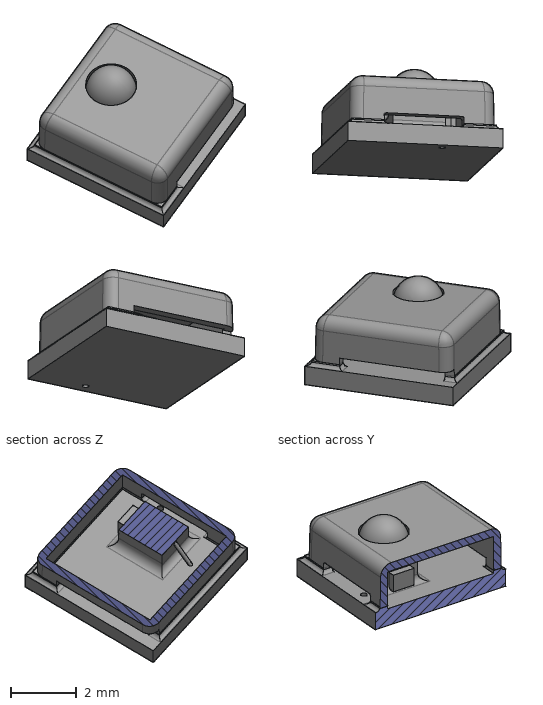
import cadquery as cq
import math

board_size = 4.83
board_thickness = 0.6
total_height = 2.63

bead_radius = 0.145
bead_half_width = 2.395
bead_top = board_thickness + bead_radius

cap_half_width = bead_half_width - bead_radius
cap_draft = 1.0
cap_top = 2.155
cap_bottom = board_thickness + 0.1
cap_corner_radius = 0.355
cap_top_radius = 0.395
cavity_half_width = 1.95

slot_half_length = 1.24
opening_top = board_thickness + 0.357
slot_corner_radius = 0.072
notch_start_x = 1.88
notch_start_y = -1.348

bead_slot_half_length = slot_half_length - bead_radius
bead_notch_x = notch_start_x + bead_radius
bead_notch_y = notch_start_y + bead_radius

lens_radius = 0.775
lens_x = -0.89
lens_center_z = total_height - lens_radius
pedestal_length = 1.35
pedestal_width = 1.64
foot_radius_x = 0.3
foot_radius_y = 0.23
pedestal_height = lens_center_z - board_thickness

tab_length = 0.775
tab_reach = 1.06
tab_gap = 0.055
tab_height = 0.58
wire_diameter = 0.13
wire_foot_y = 1.46
wire_sink = 0.095
wire_top_y = pedestal_width / 2 - wire_sink
wire_slope = 1.1
vent_diameter = 0.2
vent_x = -2.045
vent_y = -0.605


def box_between(low, high):
    """Axis-aligned box given by two opposite corners."""
    size = [b - a for a, b in zip(low, high)]
    return cq.Workplane("XY").box(*size, centered=False).translate(tuple(low))


def board_slab(low_z, high_z):
    """Slab with the outline of the board between two heights."""
    half = board_size / 2
    return box_between((-half, -half, low_z), (half, half, high_z))


def make_cap():
    """Drafted, rounded cap with its openings and the square, coved rim along its foot."""
    cap = (
        cq.Workplane("XY", origin=(0, 0, cap_bottom))
        .rect(2 * cap_half_width, 2 * cap_half_width)
        .extrude(cap_top - cap_bottom, taper=cap_draft)
    )
    cap = cap.edges("not(#Z)").fillet(cap_corner_radius)
    cap = cap.faces(">Z").edges().fillet(cap_top_radius)

    cavity = box_between(
        (-cavity_half_width, -cavity_half_width, cap_bottom),
        (cavity_half_width, cavity_half_width, lens_center_z),
    )
    lens_hole = (
        cq.Workplane("XY", origin=(lens_x, 0, lens_center_z))
        .circle(lens_radius)
        .extrude(cap_top - lens_center_z)
    )
    slot = box_between(
        (-board_size / 2, -slot_half_length, board_thickness),
        (-notch_start_x, slot_half_length, opening_top),
    ).edges("|X and >Z").fillet(slot_corner_radius)
    notch = box_between(
        (notch_start_x, notch_start_y, board_thickness),
        (board_size / 2, board_size / 2, opening_top),
    )
    cap = cap.cut(cavity).cut(lens_hole).cut(slot).cut(notch)

    above_parting = board_slab(cap_bottom, bead_top)
    for run in make_bead():
        cap = cap.union(run.intersect(above_parting))
    return cap


def cove_cutter(start, end):
    """Rod along a bead's bottom outline that hollows its side into a cove."""
    (x0, y0), (x1, y1) = start, end
    direction = cq.Vector(x1 - x0, y1 - y0, 0)
    rod = cq.Solid.makeCylinder(
        bead_radius, direction.Length, cq.Vector(x0, y0, bead_top), direction
    )
    return cq.Workplane("XY").add(rod)


def make_bead():
    """Two runs of adhesive, coved on the outside and at their ends."""
    out = bead_half_width
    inn = cavity_half_width
    front_run = [
        (-inn, -bead_slot_half_length),
        (-out, -bead_slot_half_length),
        (-out, -out),
        (out, -out),
        (out, bead_notch_y),
        (inn, bead_notch_y),
        (inn, -inn),
        (-inn, -inn),
    ]
    back_run = [
        (-inn, bead_slot_half_length),
        (-out, bead_slot_half_length),
        (-out, out),
        (bead_notch_x, out),
        (bead_notch_x, inn),
        (-inn, inn),
    ]
    runs = []
    for outline in (front_run, back_run):
        run = (
            cq.Workplane("XY", origin=(0, 0, board_thickness))
            .polyline(outline)
            .close()
            .extrude(bead_radius)
        )
        for start, end in zip(outline, outline[1:]):
            on_outside = out in (abs(start[0]), abs(start[1]), abs(end[0]), abs(end[1]))
            if on_outside:
                run = run.cut(cove_cutter(start, end))
        runs.append(run)
    return runs


def flared_profile(plane, origin, width, foot_radius, depth):
    """Upright bar with concave feet, extruded evenly to both sides of the plane."""
    half = width / 2
    foot = half + foot_radius
    bend = foot_radius * (1 - math.sqrt(0.5))
    return (
        cq.Workplane(plane, origin=origin)
        .moveTo(-foot, 0)
        .threePointArc((-half - bend, bend), (-half, foot_radius))
        .lineTo(-half, pedestal_height)
        .lineTo(half, pedestal_height)
        .lineTo(half, foot_radius)
        .threePointArc((half + bend, bend), (foot, 0))
        .close()
        .extrude(depth, both=True)
    )


def make_lens():
    """Flared pedestal with the ball lens, the side tab and the slanted wire."""
    origin = (lens_x, 0, board_thickness)
    along_x = flared_profile("XZ", origin, pedestal_length, foot_radius_x, board_size)
    along_y = flared_profile("YZ", origin, pedestal_width, foot_radius_y, board_size)
    pedestal = along_x.intersect(along_y)
    dome = cq.Workplane("XY").add(
        cq.Solid.makeSphere(
            lens_radius, cq.Vector(lens_x, 0, lens_center_z), cq.Vector(0, 0, 1), 0, 90, 360
        )
    )
    tab = box_between(
        (lens_x - tab_length / 2, -tab_reach, board_thickness + tab_gap),
        (lens_x + tab_length / 2, 0, board_thickness + tab_gap + tab_height),
    )
    return pedestal.union(dome).union(tab).union(make_wire())


def make_wire():
    """Straight wire rising from the board to the +Y side of the pedestal."""
    run = wire_foot_y - wire_top_y
    direction = cq.Vector(0, -run, run * wire_slope)
    foot = cq.Vector(lens_x, wire_foot_y, board_thickness - wire_sink)
    return cq.Workplane("XY").add(
        cq.Solid.makeCylinder(wire_diameter / 2, direction.Length, foot, direction)
    )


def make_base():
    """Board with its vent, the bead below the parting plane, and the lens."""
    vent = (
        cq.Workplane("XY", origin=(vent_x, vent_y, 0))
        .circle(vent_diameter / 2)
        .extrude(board_thickness)
    )
    base = board_slab(0, board_thickness).cut(vent)

    below_parting = board_slab(board_thickness, cap_bottom)
    for run in make_bead():
        base = base.union(run.intersect(below_parting))
    return base.union(make_lens())


base = make_base()
cap = make_cap()

result = cq.Compound.makeCompound([*base.solids().vals(), *cap.solids().vals()])